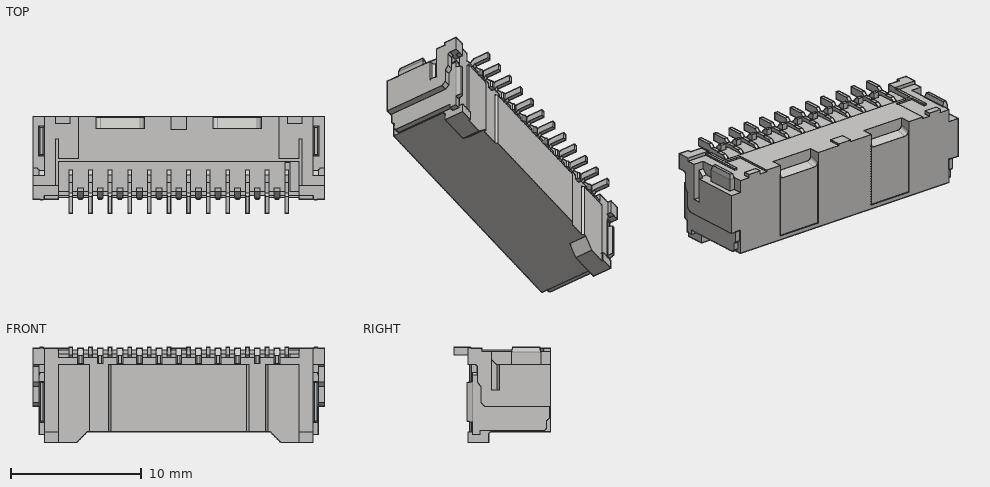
import cadquery as cq
import math


length = 22.3
depth = 7.4
height = 7.3
half_length = length / 2

bottom_z = 0.83
top_z = 7.1
end_top_z = 6.95
raised_z = 7.23
floor_z = 6.75
ledge_z = 6.5
panel_top_z = 5.98
plate_bottom_z = 2.77
side_top_z = 5.95

face_y = 1.35
layer_y = 1.43
panel_y = 1.2
block_y = 1.07
block_back_y = 2.15
plate_front_y = 1.8
arm_back_y = 2.88
step_y = 1.67
recess_back_y = 3.95

body_half = 10.25
layer_half = 10.65
recess_half = 9.19
rail_half = 9.4

pin_count = 12
pin_span = 16.5
pitch = pin_span / (pin_count - 1)
pin_width = 0.3
wedge_width = 0.45


def box(x0, x1, y0, y1, z0, z1):
    """Box between two opposite corners."""
    return cq.Workplane("XY").box(x1 - x0, y1 - y0, z1 - z0, centered=False).translate((x0, y0, z0))


def side_profile(points, x0, x1):
    """Outline of (y, z) points extruded from x0 to x1."""
    return cq.Workplane("YZ").workplane(offset=x0).polyline(points).close().extrude(x1 - x0)


def both_ends(left):
    """A left-hand shape together with its mirror image."""
    return left.union(left.mirror("YZ"))


def main_body():
    body = box(-body_half, body_half, face_y, depth, bottom_z, top_z)
    recess = box(-recess_half, recess_half, step_y, recess_back_y, floor_z, height)
    ledge = box(-recess_half, recess_half, face_y, step_y, ledge_z, height)
    return body.cut(recess).cut(ledge)


def end_top_steps():
    """Material removed to lower the top face at the left end."""
    corner_x = -7.67
    corner_y = 4.2
    rail_end_y = 5.66
    outer = box(-half_length, -rail_half, face_y, depth, end_top_z, height)
    rear = box(-rail_half, corner_x, rail_end_y, depth, end_top_z, height)
    inner = box(-recess_half, corner_x, corner_y, rail_end_y, end_top_z, height)
    return outer.union(rear).union(inner)


def front_panels():
    slope_run = 0.18
    left_end = -6.82
    right_start = 6.62
    centre_half = 5.35

    def panel(points):
        base = cq.Workplane("XY").workplane(offset=bottom_z)
        return base.polyline(points).close().extrude(panel_top_z - bottom_z)

    left = box(-recess_half, left_end, panel_y, face_y, bottom_z, panel_top_z)
    centre = panel([
        (-centre_half, face_y),
        (-centre_half + slope_run, panel_y),
        (centre_half - slope_run, panel_y),
        (centre_half, face_y),
    ])
    right = panel([
        (right_start, face_y),
        (right_start + slope_run, panel_y),
        (recess_half, panel_y),
        (recess_half, face_y),
    ])
    return left.union(centre).union(right)


def left_foot():
    foot_back_y = 2.68
    back_chamfer = 0.15
    toe_x = -7.8
    slope_top_x = -6.98
    foot = (
        cq.Workplane("XZ")
        .workplane(offset=-panel_y)
        .polyline([(-body_half, 0), (toe_x, 0), (slope_top_x, bottom_z), (-body_half, bottom_z)])
        .close()
        .extrude(panel_y - foot_back_y)
    )
    brace = side_profile(
        [
            (foot_back_y, bottom_z - back_chamfer),
            (foot_back_y + back_chamfer, bottom_z),
            (foot_back_y, bottom_z),
        ],
        -body_half,
        toe_x,
    )
    front_pad = box(-body_half, -recess_half, block_y, face_y, 0, bottom_z)
    return foot.union(brace).union(front_pad)


def left_outer_plate():
    """Outermost plate, rising into the end block at the front."""
    cheek_y = 2.07
    points = [
        (depth, plate_bottom_z),
        (depth, side_top_z),
        (arm_back_y, side_top_z),
        (arm_back_y, end_top_z),
        (block_back_y, end_top_z),
        (block_back_y, raised_z),
        (block_y, raised_z),
        (block_y, side_top_z),
        (1.65, side_top_z),
        (plate_front_y, 5.82),
        (plate_front_y, 4.62),
        (cheek_y, 4.28),
        (cheek_y, 3.05),
        (2.36, plate_bottom_z),
    ]
    return side_profile(points, -half_length, -layer_half)


def left_plate_slot():
    """Slot behind the arm, with a bevelled rear corner."""
    slot_back_y = 3.48
    slot_bottom_z = 4.01
    bevel = 0.18
    return (
        cq.Workplane("XY")
        .workplane(offset=slot_bottom_z)
        .polyline([
            (-half_length, arm_back_y),
            (-half_length, slot_back_y),
            (-layer_half - bevel, slot_back_y),
            (-layer_half, slot_back_y - bevel),
            (-layer_half, arm_back_y),
        ])
        .close()
        .extrude(end_top_z - slot_bottom_z)
    )


def left_inner_layer():
    """Layer between body and outer plate, with a ramp behind the arm."""
    ramp_back_y = 3.28
    ramp_top_z = 6.33
    layer_bottom_z = 0.94
    leg_bottom_z = 0.6
    leg_back_y = 1.98
    points = [
        (layer_y, leg_bottom_z),
        (leg_back_y, leg_bottom_z),
        (leg_back_y, layer_bottom_z),
        (6.94, layer_bottom_z),
        (7.1, 1.12),
        (7.1, 1.67),
        (7.31, 1.87),
        (7.31, plate_bottom_z),
        (depth, plate_bottom_z),
        (depth, side_top_z),
        (ramp_back_y, side_top_z),
        (arm_back_y, ramp_top_z),
        (arm_back_y, end_top_z),
        (layer_y, end_top_z),
    ]
    layer = side_profile(points, -layer_half, -body_half)
    notch_bottom_z = 5.37
    notch_back_y = 1.76
    bevel_width = 0.1
    bevel_height = 0.22
    notch = (
        cq.Workplane("XZ")
        .workplane(offset=-layer_y)
        .polyline([
            (-layer_half, notch_bottom_z - bevel_height),
            (-layer_half + bevel_width, notch_bottom_z),
            (-body_half, notch_bottom_z),
            (-body_half, side_top_z),
            (-layer_half, side_top_z),
        ])
        .close()
        .extrude(layer_y - notch_back_y)
    )
    return layer.cut(notch)


def left_end_block():
    block = box(-half_length, -body_half, block_y, block_back_y, panel_top_z, raised_z)
    post = box(-body_half, -recess_half, face_y, block_back_y, bottom_z, raised_z)
    return block.union(post)


def left_tabs():
    """Tapered tabs of the side layer: one upward, one forward."""
    tab_inset = 0.1

    upper_outer_half = 10.7
    upper_thickness = upper_outer_half - body_half
    upper_middle_x = -(upper_outer_half + body_half) / 2
    upper_y0 = 4.4
    upper_y1 = 6.67
    upper_base_z = 6.91
    upper_rise = height - upper_base_z
    upper_stem = box(-upper_outer_half, -body_half, upper_y0, upper_y1, side_top_z, upper_base_z)
    upper_tip = (
        cq.Workplane("XY", origin=(upper_middle_x, (upper_y0 + upper_y1) / 2, upper_base_z))
        .rect(upper_thickness, upper_y1 - upper_y0)
        .extrude(upper_rise, taper=math.degrees(math.atan(tab_inset / upper_rise)))
    )

    front_thickness = layer_half - body_half
    front_middle_x = -(layer_half + body_half) / 2
    front_z0 = 1.54
    front_z1 = 4.68
    front_reach = 0.42
    front_tip = (
        cq.Workplane("XZ", origin=(front_middle_x, layer_y, (front_z0 + front_z1) / 2))
        .rect(front_thickness, front_z1 - front_z0)
        .extrude(front_reach, taper=math.degrees(math.atan(tab_inset / front_reach)))
    )
    return upper_stem.union(upper_tip).union(front_tip)


def top_pads():
    corner_inner_x = -8.32
    corner_front_y = 6.87
    left_pad = box(-rail_half, corner_inner_x, corner_front_y, depth, end_top_z, raised_z)
    centre_half = 0.58
    centre_front_y = 6.4
    centre_pad = box(-centre_half, centre_half, centre_front_y, depth, top_z, raised_z)
    return both_ends(left_pad).union(centre_pad)


def left_rear_notch():
    """Rear notch with rounded lower corners and a floor falling to the rear."""
    x0 = -6.3
    x1 = -2.6
    notch_front_y = 6.5
    notch_floor_z = 6.15
    corner_radius = 0.33
    floor_fall = 15.0
    relief_front_y = 7.31
    relief_bottom_z = 1.15
    tool_top_z = 2 * height
    notch = (
        box(x0, x1, 0, 2 * depth, notch_floor_z, tool_top_z)
        .edges("|Y and <Z")
        .fillet(corner_radius)
        .rotate((0, notch_front_y, notch_floor_z), (1, notch_front_y, notch_floor_z), -floor_fall)
    )
    window = box(x0, x1, notch_front_y, depth, bottom_z, height)
    rear_relief = box(x0, x1, relief_front_y, depth, relief_bottom_z, height)
    return notch.intersect(window).union(rear_relief)


def pin(x):
    pin_bottom_z = 6.7
    shank_z = 7.05
    heel_z = 6.98
    shank_back_y = 2.35
    heel_back_y = 3.32
    points = [
        (0, pin_bottom_z),
        (0, height),
        (1.3, height),
        (1.55, shank_z),
        (shank_back_y, shank_z),
        (shank_back_y, heel_z),
        (2.95, heel_z),
        (heel_back_y, floor_z),
        (heel_back_y, ledge_z),
        (face_y, ledge_z),
        (panel_y, pin_bottom_z),
    ]
    return side_profile(points, x - pin_width / 2, x + pin_width / 2)


def last_pin_slot(x):
    """Slot in the recess floor around the pin at the right end."""
    clearance = 0.11
    slot_back_y = 3.88
    return box(x - pin_width / 2, x + pin_width / 2 + clearance, step_y, slot_back_y, ledge_z, floor_z)


def wedge(x):
    """Sloped wedge between two pins, ending in a bevelled nose over the front panel."""
    top_front_y = 1.67
    wedge_back_y = 1.95
    nose_y = 1.18
    nose_top_z = 6.67
    nose_bottom_z = 6.05
    bevel = 0.11
    points = [
        (wedge_back_y, ledge_z),
        (wedge_back_y, raised_z),
        (top_front_y, raised_z),
        (nose_y, nose_top_z),
        (nose_y, nose_bottom_z),
        (wedge_back_y, nose_bottom_z),
    ]
    half = wedge_width / 2
    nose = (
        cq.Workplane("XY")
        .workplane(offset=nose_bottom_z)
        .polyline([
            (x - half, nose_y),
            (x - half + bevel, block_y),
            (x + half - bevel, block_y),
            (x + half, nose_y),
        ])
        .close()
        .extrude(nose_top_z - nose_bottom_z)
    )
    return side_profile(points, x - half, x + half).union(nose)


result = main_body().cut(both_ends(end_top_steps()))
result = result.union(front_panels())
left_end = left_inner_layer().union(left_outer_plate().cut(left_plate_slot()))
left_end = left_end.union(left_end_block()).union(left_foot()).union(left_tabs())
result = result.union(both_ends(left_end)).union(top_pads())
result = result.cut(both_ends(left_rear_notch()))

first_pin_x = -pin_span / 2
result = result.cut(last_pin_slot(-first_pin_x))
for i in range(pin_count):
    result = result.union(pin(first_pin_x + i * pitch))
for i in range(pin_count - 1):
    result = result.union(wedge(first_pin_x + (i + 0.5) * pitch))